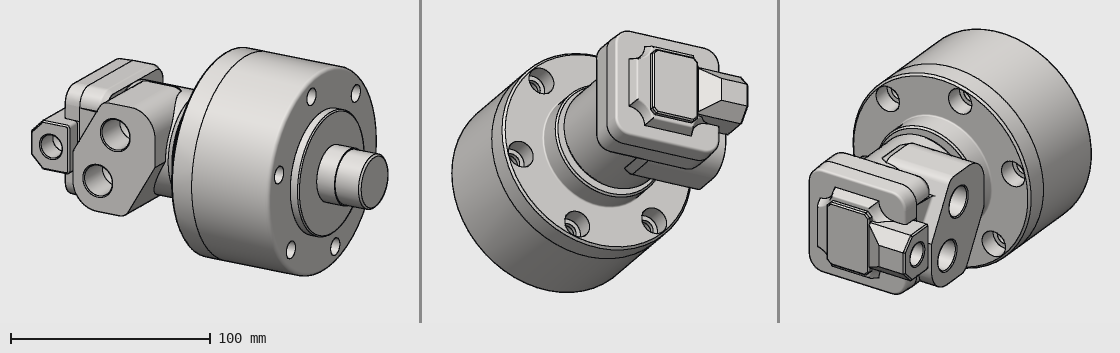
import cadquery as cq
import math


COVER_FACE_X = -76.3
COVER_JOINT_X = -67.0
HEAD_END_X = -55.6
HEAD_CONE_END_X = -52.5
HOUSING_END_X = -15.0
COLLAR_START_X = -13.4
CYLINDER_START_X = 12.4
CYLINDER_END_X = 57.4
BOSS_END_X = 62.3
ROD_STEP_X = 72.7
ROD_END_X = 87.3

OUTER_R = 53.5
BARREL_R = 27.7
NECK_R = 12.8
COLLAR_R = 30.5
BOSS_R = 32.5
ROD_R = 14.8
ROD_TIP_R = 14.2

HEAD_SIZE = 59.3
HEAD_CORNER_R = 9.0
HEAD_REAR_R = 2.0
COVER_DRAFT = 3.0
COVER_EDGE_R = 1.3
HEAD_CONE_DROP = HEAD_SIZE / 2 - BARREL_R

PORT_FACE_Y = -38.0
DRILL_POINT_ANGLE = 118.0
PORT_RIM_CHAMFER = 0.6

PLATE_REACH = 22.0
PLATE_ARM_HALF = 13.2
PLATE_HEIGHT = 5.7
PLATE_TAPER = 18.0
PLATE_EDGE_R = 1.0
PAD_LENGTH_Y = 25.6
PAD_LENGTH_Z = 35.6
PAD_FACE_X = -84.7
PAD_CORNER = 2.4
PAD_EDGE = 0.8

COVER_BOSS_FACE_X = -90.7
COVER_BOSS_BACK_X = -68.3
COVER_BOSS_HALF_Z = 13.0
COVER_BOSS_CORNER = 6.9
COVER_BOSS_SLOPE_Y = -22.7
COVER_BOSS_BACK_R = 1.8
COVER_BOSS_EDGE = 0.8
COVER_PORT_X = -78.8
COVER_PORT_R = 6.1
COVER_PORT_DEPTH = 12.0

BLOCK_CENTER_X = -42.1
BLOCK_HALF_X = 23.9
BLOCK_HALF_Z = 29.5
BLOCK_TIP_HALF_X = 6.6
BLOCK_WIDE_R = 14.0
BLOCK_TIGHT_R = 6.0
BLOCK_ROOT_R = 1.2
BLOCK_TOP_SLOPE = 4.7
BLOCK_TOP_ANGLE = 24.0
HOUSING_PORT_CENTER_X = -46.4
HOUSING_PORT_OFFSET_X = 5.1
HOUSING_PORT_OFFSET_Z = 13.1
HOUSING_PORT_R = 8.1
HOUSING_PORT_DEPTH = 18.0
HEAD_PAD_Y = -31.2
HEAD_PAD_HALF_Z = 20.3

BOLT_COUNT = 6
BOLT_CIRCLE_R = 45.0
BOLT_START_ANGLE = 45.0
BOLT_HOLE_D = 9.0
COUNTERBORE_D = 14.0
COUNTERBORE_DEPTH = 10.0

BARREL_CHAMFER = 1.6
COLLAR_CHAMFER = 1.0
COLLAR_ROOT_R = 0.8
FLANGE_CHAMFER = 1.2
CYLINDER_EDGE_R = 2.0
BOSS_CHAMFER = 0.7
ROD_CHAMFER = 1.0

SELECT_MARGIN = 0.1


def disc(start_x, end_x, radius):
    """Round bar on the X axis."""
    return cq.Workplane("YZ", origin=(start_x, 0, 0)).circle(radius).extrude(end_x - start_x)


def edges_at_x(x):
    """Selector for the edges centred in the plane of constant X."""
    return cq.selectors.BoxSelector(
        (x - SELECT_MARGIN, -OUTER_R, -OUTER_R), (x + SELECT_MARGIN, OUTER_R, OUTER_R)
    )


def square_head(start_x, end_x):
    """Square bar on the X axis with rounded long edges."""
    length = end_x - start_x
    bar = cq.Workplane("YZ", origin=(start_x, 0, 0)).rect(HEAD_SIZE, HEAD_SIZE).extrude(length)
    return bar.edges("|X").fillet(HEAD_CORNER_R)


def blind_port(x, z, radius, depth):
    """Drilled port running along +Y from the port face, with a rim chamfer and a conical bottom."""
    rim_r = radius + PORT_RIM_CHAMFER
    tip_depth = depth + radius / math.tan(math.radians(DRILL_POINT_ANGLE / 2))
    half_section = [
        (0, 0),
        (rim_r, 0),
        (radius, PORT_RIM_CHAMFER),
        (radius, depth),
        (0, tip_depth),
    ]
    port = cq.Workplane("XY").polyline(half_section).close().revolve(360, (0, 0), (0, 1))
    return port.translate((x, PORT_FACE_Y, z))


def bolt_holes(start_x, end_x, diameter):
    """Ring of parallel cutters for the mounting holes."""
    return (
        cq.Workplane("YZ", origin=(start_x, 0, 0))
        .polarArray(BOLT_CIRCLE_R, BOLT_START_ANGLE, 360, BOLT_COUNT)
        .circle(diameter / 2)
        .extrude(end_x - start_x)
    )


def cross_plate():
    """Tapered cross with hollow rounded inner corners, raised from the cover face."""
    reach = PLATE_REACH
    arm = PLATE_ARM_HALF
    mid = reach - (reach - arm) * math.sqrt(0.5)
    plate = (
        cq.Workplane("YZ", origin=(COVER_FACE_X, 0, 0))
        .moveTo(reach, -arm)
        .lineTo(reach, arm)
        .threePointArc((mid, mid), (arm, reach))
        .lineTo(-arm, reach)
        .threePointArc((-mid, mid), (-reach, arm))
        .lineTo(-reach, -arm)
        .threePointArc((-mid, -mid), (-arm, -reach))
        .lineTo(arm, -reach)
        .threePointArc((mid, -mid), (reach, -arm))
        .close()
        .extrude(-PLATE_HEIGHT, taper=PLATE_TAPER)
    )
    return plate.faces("<X").edges().fillet(PLATE_EDGE_R)


def centre_pad():
    """Rectangular pad with cut corners standing on the cross plate."""
    pad = (
        cq.Workplane("YZ", origin=(COVER_FACE_X, 0, 0))
        .rect(PAD_LENGTH_Y, PAD_LENGTH_Z)
        .extrude(PAD_FACE_X - COVER_FACE_X)
    )
    return pad.edges("|X").chamfer(PAD_CORNER).faces("<X").edges().chamfer(PAD_EDGE)


def cover_port_boss():
    """Side boss of the cover, sloped back to the face of the centre pad."""
    inner_y = -PAD_LENGTH_Y / 2
    boss = (
        cq.Workplane("XY")
        .moveTo(COVER_BOSS_FACE_X, PORT_FACE_Y)
        .lineTo(COVER_BOSS_FACE_X, COVER_BOSS_SLOPE_Y)
        .lineTo(PAD_FACE_X, inner_y)
        .lineTo(COVER_JOINT_X, inner_y)
        .lineTo(COVER_JOINT_X, -HEAD_SIZE / 2)
        .lineTo(COVER_BOSS_BACK_X, -HEAD_SIZE / 2)
        .lineTo(COVER_BOSS_BACK_X, PORT_FACE_Y)
        .close()
        .extrude(COVER_BOSS_HALF_Z, both=True)
    )
    cut_x = COVER_BOSS_FACE_X + COVER_BOSS_CORNER
    cut_z = COVER_BOSS_HALF_Z - COVER_BOSS_CORNER
    outline = (
        cq.Workplane("XZ", origin=(0, inner_y, 0))
        .moveTo(COVER_BOSS_FACE_X, -cut_z)
        .lineTo(COVER_BOSS_FACE_X, cut_z)
        .lineTo(cut_x, COVER_BOSS_HALF_Z)
        .lineTo(COVER_JOINT_X, COVER_BOSS_HALF_Z)
        .lineTo(COVER_JOINT_X, -COVER_BOSS_HALF_Z)
        .lineTo(cut_x, -COVER_BOSS_HALF_Z)
        .close()
        .extrude(inner_y - PORT_FACE_Y)
    )
    boss = boss.intersect(outline)
    back_edges = edges_at_x(COVER_BOSS_BACK_X)
    boss = boss.edges("|Y").edges(back_edges).fillet(COVER_BOSS_BACK_R)
    return boss.faces("<Y").edges().chamfer(COVER_BOSS_EDGE)


def make_cover():
    slab = (
        square_head(COVER_JOINT_X, HEAD_END_X).faces("<X").wires().toPending().workplane()
        .extrude(COVER_JOINT_X - COVER_FACE_X, combine=False, taper=COVER_DRAFT)
    )
    slab = slab.faces("<X").edges().fillet(COVER_EDGE_R)
    body = slab.union(cross_plate()).union(centre_pad()).union(cover_port_boss())
    return body.cut(blind_port(COVER_PORT_X, 0, COVER_PORT_R, COVER_PORT_DEPTH))


def port_block_outline(y):
    """Slanted block outline in a plane of constant Y, drawn as a sharp hexagon."""
    corners = [
        (BLOCK_HALF_X, 0),
        (BLOCK_HALF_X, BLOCK_HALF_Z),
        (-BLOCK_TIP_HALF_X, BLOCK_HALF_Z),
        (-BLOCK_HALF_X, 0),
        (-BLOCK_HALF_X, -BLOCK_HALF_Z),
        (BLOCK_TIP_HALF_X, -BLOCK_HALF_Z),
    ]
    return cq.Workplane("XZ", origin=(BLOCK_CENTER_X, y, 0)).polyline(corners).close()


def port_block():
    block = port_block_outline(0).extrude(-PORT_FACE_Y)
    for side in (1, -1):
        wide = cq.Vector(BLOCK_CENTER_X + side * BLOCK_HALF_X, 0, side * BLOCK_HALF_Z)
        tight_x = BLOCK_CENTER_X - side * BLOCK_TIP_HALF_X
        tight = cq.Vector(tight_x, 0, side * BLOCK_HALF_Z)
        for corner, radius in ((wide, BLOCK_WIDE_R), (tight, BLOCK_TIGHT_R)):
            nearest = cq.selectors.NearestToPointSelector((corner.x, PORT_FACE_Y / 2, corner.z))
            block = block.edges("|Y").edges(nearest).fillet(radius)
    crown = block.faces(">Y").wires().toPending().workplane()
    return crown.extrude(BLOCK_TOP_SLOPE, taper=BLOCK_TOP_ANGLE)


def head_pad():
    """Sloped pad that thickens the port side of the head toward the port block."""
    return (
        cq.Workplane("XY")
        .moveTo(COVER_JOINT_X, 0)
        .lineTo(COVER_JOINT_X, -HEAD_SIZE / 2)
        .lineTo(HEAD_CONE_END_X, HEAD_PAD_Y)
        .lineTo(HEAD_CONE_END_X, 0)
        .close()
        .extrude(HEAD_PAD_HALF_Z, both=True)
    )


def make_housing():
    head = square_head(COVER_JOINT_X, HEAD_END_X)
    cone_length = HEAD_CONE_END_X - HEAD_END_X
    cone_angle = math.degrees(math.atan(HEAD_CONE_DROP / cone_length))
    head = (
        head.faces(">X").wires().toPending().workplane()
        .extrude(cone_length, taper=cone_angle)
    )
    head = head.edges(edges_at_x(HEAD_END_X)).fillet(HEAD_REAR_R)
    barrel = disc(HEAD_END_X, HOUSING_END_X, BARREL_R).faces(">X").edges().chamfer(BARREL_CHAMFER)
    body = head.union(barrel).union(head_pad()).union(port_block())
    slant_root = cq.selectors.BoxSelector(
        (COVER_JOINT_X, HEAD_PAD_Y, SELECT_MARGIN),
        (HEAD_CONE_END_X, -HEAD_SIZE / 2, HEAD_PAD_HALF_Z - SELECT_MARGIN),
    )
    body = body.edges(slant_root).fillet(BLOCK_ROOT_R)
    for side in (1, -1):
        port_x = HOUSING_PORT_CENTER_X + side * HOUSING_PORT_OFFSET_X
        port_z = side * HOUSING_PORT_OFFSET_Z
        body = body.cut(blind_port(port_x, port_z, HOUSING_PORT_R, HOUSING_PORT_DEPTH))
    return body


def make_shaft_flange():
    neck = disc(HOUSING_END_X, COLLAR_START_X, NECK_R)
    collar = disc(COLLAR_START_X, 0, COLLAR_R).faces("<X").edges().chamfer(COLLAR_CHAMFER)
    plate = disc(0, CYLINDER_START_X, OUTER_R).faces("<X").edges().chamfer(FLANGE_CHAMFER)
    body = collar.union(plate)
    collar_root = cq.selectors.RadiusNthSelector(0)
    body = body.edges("%CIRCLE").edges(edges_at_x(0)).edges(collar_root).fillet(COLLAR_ROOT_R)
    body = body.union(neck)
    body = body.cut(bolt_holes(0, CYLINDER_START_X, BOLT_HOLE_D))
    return body.cut(bolt_holes(0, COUNTERBORE_DEPTH, COUNTERBORE_D))


def make_cylinder():
    drum = disc(CYLINDER_START_X, CYLINDER_END_X, OUTER_R).faces(">X").edges().fillet(CYLINDER_EDGE_R)
    boss = disc(CYLINDER_END_X, BOSS_END_X, BOSS_R).faces(">X").edges().chamfer(BOSS_CHAMFER)
    return drum.union(boss).cut(bolt_holes(CYLINDER_START_X, CYLINDER_END_X, BOLT_HOLE_D))


def make_rod():
    shank = disc(BOSS_END_X, ROD_STEP_X, ROD_R)
    tip = disc(ROD_STEP_X, ROD_END_X, ROD_TIP_R).faces(">X").edges().chamfer(ROD_CHAMFER)
    return shank.union(tip)


cover = make_cover()
housing = make_housing()
shaft_flange = make_shaft_flange()
cylinder = make_cylinder()
rod = make_rod()

result = cq.Compound.makeCompound(
    [cover.val(), housing.val(), shaft_flange.val(), cylinder.val(), rod.val()]
)